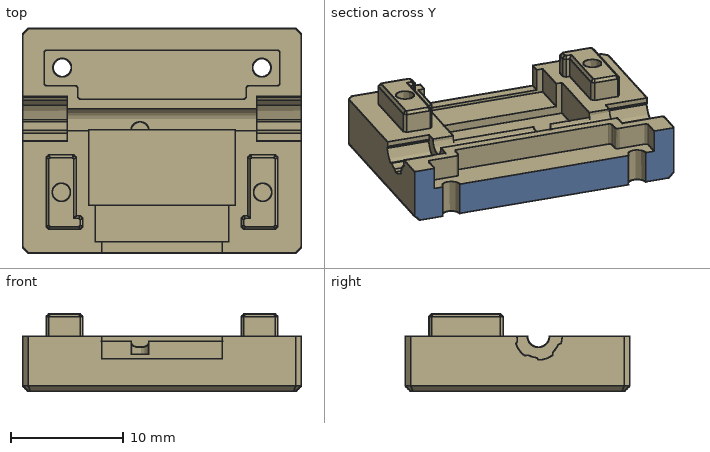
import cadquery as cq
import math

LENGTH = 24.8
WIDTH = 20.0
TOTAL_HEIGHT = 6.9
PAD_HEIGHT = 1.98
BLOCK_HEIGHT = TOTAL_HEIGHT - PAD_HEIGHT
BLOCK_CHAMFER = 0.5

REAR_POCKET_LENGTH = 20.98
REAR_POCKET_BACK_Y = 8.05
REAR_POCKET_STEP_Y = 4.89
REAR_POCKET_FRONT_Y = 3.7
REAR_POCKET_NARROW_LENGTH = 14.98
REAR_POCKET_DEPTH = 1.98
REAR_POCKET_RADIUS = 0.25

HOLE_DIAMETER = 1.6
REAR_HOLE_X = 8.88
REAR_HOLE_Y = 6.5
PAD_HOLE_X = 8.95
PAD_HOLE_Y = -4.6
PAD_HOLE_DEPTH = 3.97

CHANNEL_Y = 1.85
CHANNEL_RADIUS = 0.97
SOCKET_LENGTH = 3.97
LOBE_COUNT = 5
LOBE_RADIUS = 2.1
VALLEY_RADIUS = 1.9
LOBE_CENTRE_ANGLE = 71.0
LOBE_HALF_ANGLE = 18.5
VALLEY_HALF_ANGLE = 12.0

CAVITY_BACK_Y = 1.0
CAVITY_STEP_Y = -5.73
CAVITY_LIP_Y = -9.0
CAVITY_DEPTH = 3.0
SHELF_DEPTH = 2.25
OPENING_DEPTH = 1.98
CAVITY_BOXES = (
    (13.0, CAVITY_BACK_Y, CAVITY_STEP_Y, CAVITY_DEPTH),
    (11.88, CAVITY_STEP_Y, CAVITY_LIP_Y, SHELF_DEPTH),
    (10.75, CAVITY_LIP_Y, -WIDTH / 2, OPENING_DEPTH),
)

NOTCH_X = -1.95
NOTCH_Y = 0.87
NOTCH_DEPTH = 1.6

PAD_OUTER_X = 10.32
PAD_INNER_X = 7.61
PAD_TOE_X = 7.05
PAD_BACK_Y = -1.26
PAD_TOE_Y = -6.67
PAD_FRONT_Y = -7.89
PAD_CHAMFER = 0.25


def make_block():
    block = cq.Workplane("XY").box(LENGTH, WIDTH, BLOCK_HEIGHT, centered=(True, True, False))
    block = block.translate((0, 0, -BLOCK_HEIGHT))
    return block.edges("|Z").chamfer(BLOCK_CHAMFER).faces("<Z").edges().chamfer(BLOCK_CHAMFER)


def make_pads():
    outline = [
        (PAD_OUTER_X, PAD_BACK_Y),
        (PAD_INNER_X, PAD_BACK_Y),
        (PAD_INNER_X, PAD_TOE_Y),
        (PAD_TOE_X, PAD_TOE_Y),
        (PAD_TOE_X, PAD_FRONT_Y),
        (PAD_OUTER_X, PAD_FRONT_Y),
    ]
    pad = cq.Workplane("XY").polyline(outline).close().extrude(PAD_HEIGHT)
    inside_corner = cq.selectors.NearestToPointSelector((PAD_INNER_X, PAD_TOE_Y, PAD_HEIGHT / 2))
    outside_edges = cq.selectors.ParallelDirSelector(cq.Vector(0, 0, 1)) - inside_corner
    pad = pad.edges(outside_edges).chamfer(PAD_CHAMFER)
    pad = pad.faces(">Z").edges().chamfer(PAD_CHAMFER)
    return pad.union(pad.mirror("YZ"))


def make_rear_pocket():
    half = REAR_POCKET_LENGTH / 2
    narrow_half = REAR_POCKET_NARROW_LENGTH / 2
    outline = [
        (-half, REAR_POCKET_BACK_Y),
        (half, REAR_POCKET_BACK_Y),
        (half, REAR_POCKET_STEP_Y),
        (narrow_half, REAR_POCKET_STEP_Y),
        (narrow_half, REAR_POCKET_FRONT_Y),
        (-narrow_half, REAR_POCKET_FRONT_Y),
        (-narrow_half, REAR_POCKET_STEP_Y),
        (-half, REAR_POCKET_STEP_Y),
    ]
    pocket = cq.Workplane("XY").polyline(outline).close().extrude(-REAR_POCKET_DEPTH)
    return pocket.edges("|Z").fillet(REAR_POCKET_RADIUS)


def make_hole_pair(x, y, top, depth):
    centres = [(-x, y), (x, y)]
    return cq.Workplane("XY", origin=(0, 0, top)).pushPoints(centres).circle(HOLE_DIAMETER / 2).extrude(-depth)


def make_front_cavity():
    cavity = cq.Workplane("XY")
    for length, back_y, front_y, depth in CAVITY_BOXES:
        centre_y = (back_y + front_y) / 2
        box = cq.Workplane("XY").center(0, centre_y).rect(length, back_y - front_y).extrude(-depth)
        cavity = cavity.union(box)
    notch = cq.Workplane("XY").center(NOTCH_X, NOTCH_Y).circle(HOLE_DIAMETER / 2).extrude(-NOTCH_DEPTH)
    return cavity.union(notch)


def polar_point(radius, angle):
    """Point around the channel axis; positive angles turn from +Y down toward -Z."""
    turn = math.radians(angle)
    return (CHANNEL_Y + radius * math.cos(turn), -radius * math.sin(turn))


def make_socket(start_x):
    pitch = 360.0 / LOBE_COUNT
    profile = cq.Workplane("YZ", origin=(start_x, 0, 0))
    profile = profile.moveTo(*polar_point(LOBE_RADIUS, LOBE_CENTRE_ANGLE - LOBE_HALF_ANGLE))
    for index in range(LOBE_COUNT):
        lobe = LOBE_CENTRE_ANGLE + index * pitch
        valley = lobe + pitch / 2
        profile = profile.threePointArc(
            polar_point(LOBE_RADIUS, lobe), polar_point(LOBE_RADIUS, lobe + LOBE_HALF_ANGLE)
        )
        profile = profile.lineTo(*polar_point(VALLEY_RADIUS, valley - VALLEY_HALF_ANGLE))
        profile = profile.threePointArc(
            polar_point(VALLEY_RADIUS, valley), polar_point(VALLEY_RADIUS, valley + VALLEY_HALF_ANGLE)
        )
        if index < LOBE_COUNT - 1:
            profile = profile.lineTo(*polar_point(LOBE_RADIUS, lobe + pitch - LOBE_HALF_ANGLE))
    return profile.close().extrude(SOCKET_LENGTH)


def make_channel():
    start = cq.Workplane("YZ", origin=(-LENGTH / 2, 0, 0))
    rod = start.center(CHANNEL_Y, 0).circle(CHANNEL_RADIUS).extrude(LENGTH)
    return rod.union(make_socket(-LENGTH / 2)).union(make_socket(LENGTH / 2 - SOCKET_LENGTH))


block = make_block().cut(make_channel()).cut(make_rear_pocket()).cut(make_front_cavity())
block = block.cut(make_hole_pair(REAR_HOLE_X, REAR_HOLE_Y, 0, BLOCK_HEIGHT))
result = block.union(make_pads()).cut(make_hole_pair(PAD_HOLE_X, PAD_HOLE_Y, PAD_HEIGHT, PAD_HOLE_DEPTH))